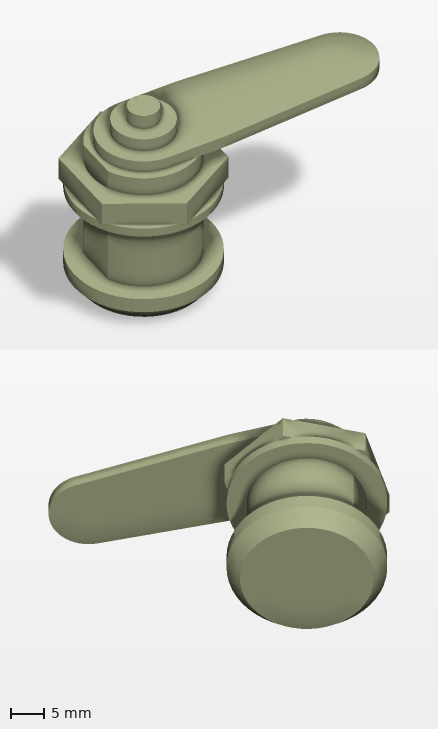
import cadquery as cq
import math

chamfer_top = 2.5
head_top = 5.0
washer_bottom = 17.0
nut_bottom = 18.5
nut_top = 22.5
body_top = 25.75
lever_top = 27.75
boss_top = 30.0
stud_top = 32.5

head_diameter = 24.0
face_diameter = 20.0
body_diameter = 18.0
washer_diameter = 24.0
boss_diameter = 10.0
stud_diameter = 5.0

body_across_flats = 16.55
nut_across_corners = 25.4

total_length = 52.0
hub_radius = 7.5
tip_radius = 6.0
taper_start = 10.0
tip_center = total_length - head_diameter / 2 - tip_radius


def disc(diameter, bottom, top):
    return cq.Workplane("XY").workplane(offset=bottom).circle(diameter / 2).extrude(top - bottom)


def make_head():
    """Flanged head with a conical lower edge."""
    profile = [
        (0, 0),
        (face_diameter / 2, 0),
        (head_diameter / 2, chamfer_top),
        (head_diameter / 2, head_top),
        (0, head_top),
    ]
    return cq.Workplane("XZ").polyline(profile).close().revolve(360, (0, 0), (0, 1))


def make_body():
    """Cylinder with two flats facing -Y and +Y."""
    height = body_top - head_top
    flat_block = (
        cq.Workplane("XY")
        .workplane(offset=head_top)
        .rect(body_diameter, body_across_flats)
        .extrude(height)
    )
    return disc(body_diameter, head_top, body_top).intersect(flat_block)


def make_washer():
    """Ring around the full body diameter, open beside the flats."""
    bore = disc(body_diameter, washer_bottom, nut_bottom)
    return disc(washer_diameter, washer_bottom, nut_bottom).cut(bore)


def make_nut():
    """Hexagon with corners on the X axis, bored to the full body diameter."""
    hexagon = (
        cq.Workplane("XY")
        .workplane(offset=nut_bottom)
        .polygon(6, nut_across_corners)
        .extrude(nut_top - nut_bottom)
    )
    return hexagon.cut(disc(body_diameter, nut_bottom, nut_top))


def make_lever():
    """Flat arm: round hub, parallel sides, then a taper tangent to the round tip."""
    taper_run = tip_center - taper_start
    corner_distance = math.hypot(hub_radius, taper_run)
    tangent_angle = math.acos(tip_radius / corner_distance) - math.atan2(taper_run, hub_radius)
    tangent_x = tip_radius * math.cos(tangent_angle)
    tangent_y = tip_center + tip_radius * math.sin(tangent_angle)
    return (
        cq.Workplane("XY")
        .workplane(offset=body_top)
        .moveTo(-hub_radius, 0)
        .threePointArc((0, -hub_radius), (hub_radius, 0))
        .lineTo(hub_radius, taper_start)
        .lineTo(tangent_x, tangent_y)
        .threePointArc((0, tip_center + tip_radius), (-tangent_x, tangent_y))
        .lineTo(-hub_radius, taper_start)
        .close()
        .extrude(lever_top - body_top)
    )


result = (
    make_head()
    .union(make_body())
    .union(make_washer())
    .union(make_nut())
    .union(make_lever())
    .union(disc(boss_diameter, lever_top, boss_top))
    .union(disc(stud_diameter, boss_top, stud_top))
)